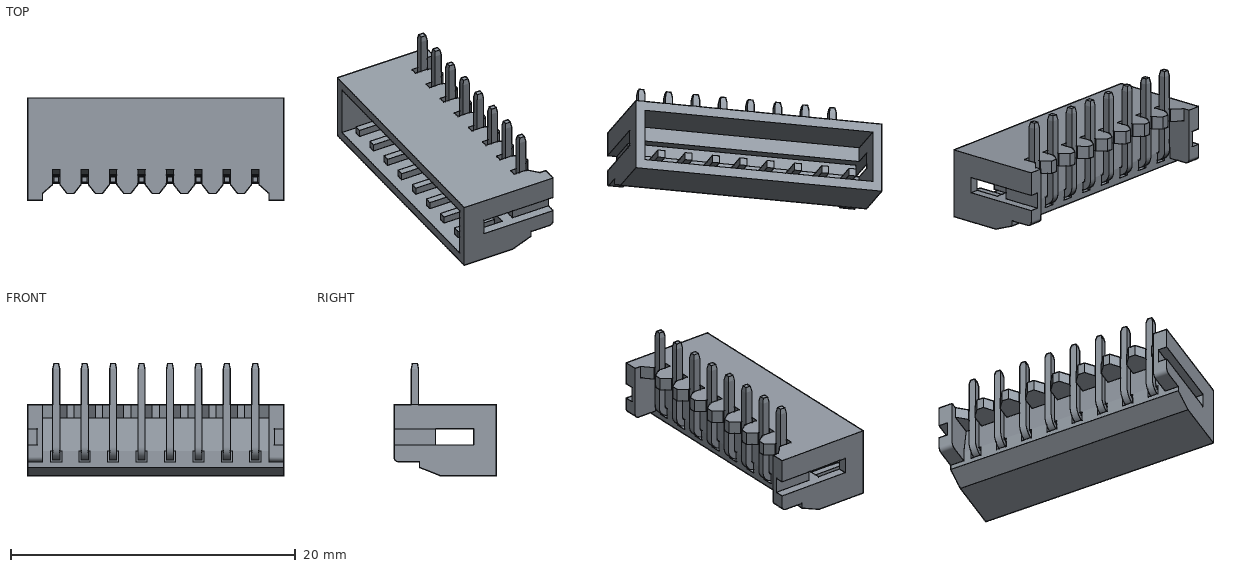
import cadquery as cq

length = 18.0
depth = 7.2
height = 5.0

pin_count = 8
pitch = 2.0
pin_width = 0.5
pin_thickness = 0.52
pin_front_y = 1.2
pin_bottom_z = 1.13
pin_top_z = 7.9
pin_end_y = 6.7
bend_radius = 0.85
tip_height = 0.4
tip_width = 0.35
tip_thickness = 0.38

body_front_y = 1.78
ear_bottom_z = 0.99
ear_round = 0.32
bevel_front_z = 0.6
bevel_back_y = 3.28

ear_width = 1.05
ramp_bottom_z = 1.75
comb_bottom_z = 4.09
slot_end_y = 2.16

tooth_tip_y = 0.49
tooth_root_y = 1.12
tooth_tip_width = 0.5

recess_width = 0.77
recess_depth = 0.32

wall = 0.67
cavity_back_y = 3.75
window_bottom_z = 2.18
window_top_z = 3.31
window_front_y = 2.92
window_back_y = 5.6

pin_positions = [(i - (pin_count - 1) / 2) * pitch for i in range(pin_count)]
half_length = length / 2
bay_half = half_length - ear_width


def box(x0, x1, y0, y1, z0, z1):
    """Axis-aligned block between two opposite corners."""
    return cq.Workplane("XY").box(x1 - x0, y1 - y0, z1 - z0, centered=False).translate((x0, y0, z0))


def make_shell():
    """Side profile over the full length, including the stepped and bevelled underside."""
    return (
        cq.Workplane("YZ")
        .moveTo(0, height)
        .lineTo(0, ear_bottom_z + ear_round)
        .radiusArc((ear_round, ear_bottom_z), -ear_round)
        .lineTo(body_front_y, ear_bottom_z)
        .lineTo(body_front_y, bevel_front_z)
        .lineTo(bevel_back_y, 0)
        .lineTo(depth, 0)
        .lineTo(depth, height)
        .close()
        .extrude(half_length, both=True)
    )


def make_bay():
    """Space between the ears: vertical front face, then a ramp up to the comb."""
    return (
        cq.Workplane("YZ")
        .moveTo(0, 0)
        .lineTo(body_front_y, 0)
        .lineTo(body_front_y, ramp_bottom_z)
        .lineTo(slot_end_y, comb_bottom_z)
        .lineTo(0, comb_bottom_z)
        .close()
        .extrude(bay_half, both=True)
    )


def make_comb_gap():
    """Material removed in front of and between the comb teeth."""
    tip_offset = (pitch - tooth_tip_width) / 2
    points = [(-bay_half, 0), (-bay_half, tooth_tip_y)]
    for i, x in enumerate(pin_positions):
        if i > 0:
            points.append((x - tip_offset, tooth_tip_y))
        points += [
            (x - pin_width / 2, tooth_root_y),
            (x - pin_width / 2, slot_end_y),
            (x + pin_width / 2, slot_end_y),
            (x + pin_width / 2, tooth_root_y),
        ]
        if i < pin_count - 1:
            points.append((x + tip_offset, tooth_tip_y))
    points += [(bay_half, tooth_tip_y), (bay_half, 0)]
    return (
        cq.Workplane("XY", origin=(0, 0, comb_bottom_z))
        .polyline(points)
        .close()
        .extrude(height - comb_bottom_z)
    )


def make_pin(x):
    """Right-angle pin of rectangular section with a tapered upper tip."""
    back_y = pin_front_y + pin_thickness
    leg_top_z = pin_bottom_z + pin_thickness
    inner_radius = bend_radius - pin_thickness
    bend_y = pin_front_y + bend_radius
    bend_z = pin_bottom_z + bend_radius
    taper_z = pin_top_z - tip_height
    body = (
        cq.Workplane("YZ", origin=(x - pin_width / 2, 0, 0))
        .moveTo(pin_front_y, taper_z)
        .lineTo(pin_front_y, bend_z)
        .radiusArc((bend_y, pin_bottom_z), -bend_radius)
        .lineTo(pin_end_y, pin_bottom_z)
        .lineTo(pin_end_y, leg_top_z)
        .lineTo(bend_y, leg_top_z)
        .radiusArc((back_y, bend_z), inner_radius)
        .lineTo(back_y, taper_z)
        .close()
        .extrude(pin_width)
    )
    tip = (
        cq.Workplane("XY", origin=(x, pin_front_y + pin_thickness / 2, taper_z))
        .rect(pin_width, pin_thickness)
        .workplane(offset=tip_height)
        .rect(tip_width, tip_thickness)
        .loft()
    )
    return body.union(tip)


housing = make_shell().cut(make_bay()).cut(make_comb_gap())

housing = housing.cut(
    box(-half_length + wall, half_length - wall, cavity_back_y, depth, wall, height - wall)
)

housing = housing.cut(
    box(-half_length, half_length, window_front_y, window_back_y, window_bottom_z, window_top_z)
)
for x0 in (-half_length, half_length - wall):
    housing = housing.cut(
        box(x0, x0 + wall, 0, window_front_y, window_bottom_z, window_top_z)
    )

for x in pin_positions:
    housing = housing.cut(
        box(
            x - recess_width / 2, x + recess_width / 2,
            body_front_y, body_front_y + recess_depth,
            ear_bottom_z, ramp_bottom_z,
        )
    )

result = housing
for x in pin_positions:
    result = result.union(make_pin(x))